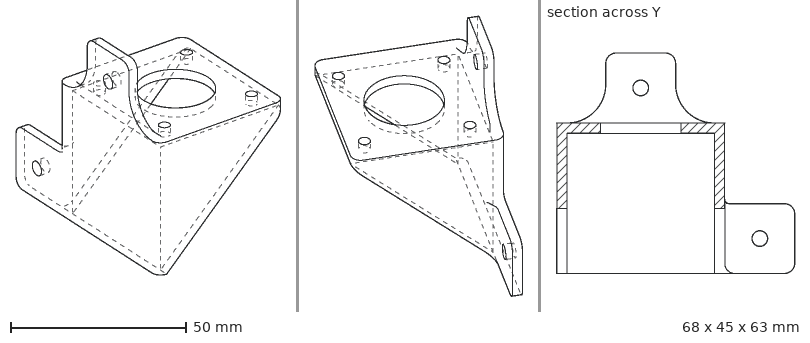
import cadquery as cq
import math

wall = 3.0
total_width = 68.0
depth = 45.0
shelf_height = 43.0
total_height = 63.0
tab_size = 20.0
corner_radius = 3.0

mount_left = tab_size
mount_width = total_width - mount_left
mount_center_x = mount_left + mount_width / 2

upper_tab_left = mount_center_x - tab_size / 2
upper_tab_right = mount_center_x + tab_size / 2
flare_left = mount_left + corner_radius
flare_right = total_width - corner_radius
flare_radius = upper_tab_left - flare_left

tab_hole_diameter = 4.4
tab_hole_inset = tab_size / 2
motor_pilot_diameter = 23.0
motor_screw_diameter = 3.4
motor_screw_pitch = 31.0
motor_center_y = 24.0

tab_bend_radius = 3.0
upper_tab_fillet = 1.0
lower_tab_fillet = 1.2


def box(x_range, y_range, z_range):
    """Box between the given limits along each axis."""
    size = [high - low for low, high in (x_range, y_range, z_range)]
    corner = (x_range[0], y_range[0], z_range[0])
    return cq.Workplane("XY").box(*size, centered=False).translate(corner)


def extrude_along_y(outline, start, length):
    """Extrude an outline drawn on the XZ plane from Y = start toward +Y."""
    return outline.extrude(-length).translate((0, start, 0))


def gusset_side_prism():
    """Side profile of the mount, sloped from the shelf's far edge down to the front plate."""
    return (
        cq.Workplane("YZ")
        .moveTo(0, 0)
        .lineTo(wall, 0)
        .lineTo(depth, shelf_height - wall)
        .lineTo(depth, shelf_height)
        .lineTo(0, shelf_height)
        .close()
        .extrude(total_width)
    )


def make_mount():
    """Shelf, front plate and two triangular gussets, open toward the back and below."""
    outer = (
        box((mount_left, total_width), (0, depth), (0, shelf_height))
        .edges("|Z")
        .fillet(corner_radius)
    )
    cavity = box(
        (mount_left + wall, total_width - wall),
        (wall, depth),
        (0, shelf_height - wall),
    )
    return outer.intersect(gusset_side_prism()).cut(cavity)


def upper_tab_outline():
    """Tab above the shelf, with flared sides and square top corners."""
    flare_top = shelf_height + flare_radius
    flare_mid = flare_radius * math.sqrt(0.5)
    return (
        cq.Workplane("XZ")
        .moveTo(flare_left, shelf_height)
        .threePointArc(
            (flare_left + flare_mid, flare_top - flare_mid),
            (upper_tab_left, flare_top),
        )
        .lineTo(upper_tab_left, total_height)
        .lineTo(upper_tab_right, total_height)
        .lineTo(upper_tab_right, flare_top)
        .threePointArc(
            (flare_right - flare_mid, flare_top - flare_mid),
            (flare_right, shelf_height),
        )
        .close()
    )


def make_upper_tab():
    """Upper tab plate with a small fillet where its back meets the shelf."""
    plate = (
        extrude_along_y(upper_tab_outline(), 0, wall)
        .edges("|Y and >Z")
        .fillet(corner_radius)
    )
    fillet_strip = extrude_along_y(upper_tab_outline(), wall, upper_tab_fillet)
    rounding = (
        cq.Workplane("YZ")
        .center(wall + upper_tab_fillet, shelf_height + upper_tab_fillet)
        .circle(upper_tab_fillet)
        .extrude(total_width)
    )
    above_fillet = box(
        (0, total_width),
        (wall, wall + upper_tab_fillet),
        (shelf_height + upper_tab_fillet, total_height),
    )
    return plate.union(fillet_strip.cut(rounding).cut(above_fillet))


def tab_bend_prism(height):
    """Concave rounding between the lower tab's back and the gusset's outer face."""
    block = box(
        (mount_left - tab_bend_radius, mount_left),
        (wall, wall + tab_bend_radius),
        (0, height),
    )
    rounding = (
        cq.Workplane("XY")
        .center(mount_left - tab_bend_radius, wall + tab_bend_radius)
        .circle(tab_bend_radius)
        .extrude(height)
    )
    return block.cut(rounding)


def make_lower_tab():
    """Lower tab plate, running in behind the mount's rounded front corner."""
    plate = (
        box((0, flare_left), (0, wall), (0, tab_size))
        .edges("|Y and <X")
        .fillet(corner_radius)
    )
    return plate.union(tab_bend_prism(tab_size).intersect(gusset_side_prism()))


def make_tab_top_fillet():
    """Fillet from the lower tab's top up the mount, following its rounded front corner."""
    fillet_top = tab_size + lower_tab_fillet
    outer_radius = corner_radius + lower_tab_fillet
    around_corner = (
        cq.Workplane("XY", origin=(flare_left, corner_radius, 0))
        .circle(outer_radius)
        .extrude(fillet_top)
    )
    along_gusset = box(
        (mount_left - lower_tab_fillet, mount_left),
        (wall, wall + tab_bend_radius),
        (tab_size, fillet_top),
    )
    corner_rounding = cq.Workplane(
        cq.Solid.makeTorus(
            outer_radius,
            lower_tab_fillet,
            cq.Vector(flare_left, corner_radius, fillet_top),
        )
    )
    gusset_rounding = (
        cq.Workplane("XZ")
        .center(mount_left - lower_tab_fillet, fillet_top)
        .circle(lower_tab_fillet)
    )
    footprint = box((0, flare_left), (0, wall), (tab_size, fillet_top))
    corner_piece = around_corner.cut(corner_rounding).intersect(footprint)
    gusset_piece = along_gusset.cut(extrude_along_y(gusset_rounding, wall, tab_bend_radius))
    return corner_piece.union(gusset_piece.intersect(tab_bend_prism(fillet_top)))


def tab_hole_cutters():
    """Screw holes through the two tabs."""
    centers = [
        (tab_hole_inset, tab_hole_inset),
        (mount_center_x, total_height - tab_hole_inset),
    ]
    circles = cq.Workplane("XZ").pushPoints(centers).circle(tab_hole_diameter / 2)
    return extrude_along_y(circles, 0, wall)


def motor_hole_cutters():
    """Pilot hole and four screw holes through the shelf."""
    shelf_underside = cq.Workplane(
        "XY", origin=(mount_center_x, motor_center_y, shelf_height - wall)
    )
    pilot = shelf_underside.circle(motor_pilot_diameter / 2).extrude(wall)
    screws = (
        shelf_underside.rect(motor_screw_pitch, motor_screw_pitch, forConstruction=True)
        .vertices()
        .circle(motor_screw_diameter / 2)
        .extrude(wall)
    )
    return pilot.union(screws)


bracket = make_mount().union(make_upper_tab()).union(make_lower_tab())
bracket = bracket.union(make_tab_top_fillet())
result = bracket.cut(tab_hole_cutters()).cut(motor_hole_cutters())